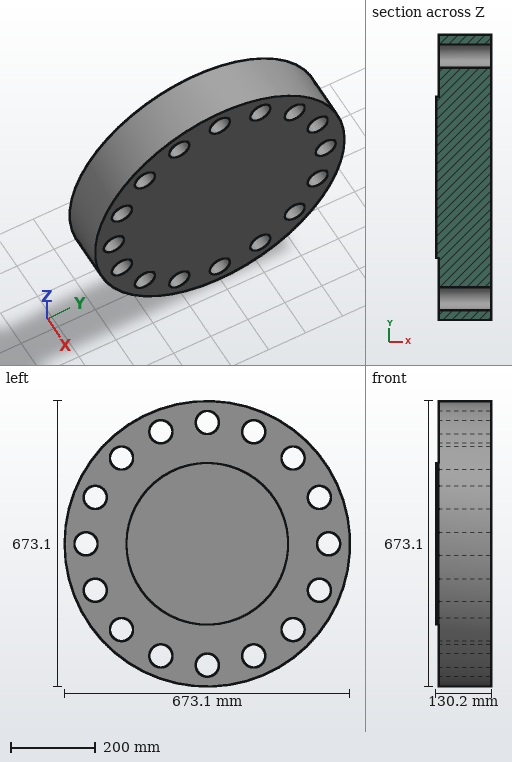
import cadquery as cq

flange_diameter = 673.1
overall_thickness = 130.18
raised_face_diameter = 381.0
raised_face_height = 6.35
disc_thickness = overall_thickness - raised_face_height

bolt_count = 16
bolt_circle_diameter = 571.5
bolt_hole_diameter = 53.975


def make_disc():
    """Main disc, from the foot of the raised face at X = 0 to the back."""
    return cq.Workplane("YZ").circle(flange_diameter / 2).extrude(disc_thickness)


def make_raised_face():
    """Shallow sealing face standing out from the front of the disc."""
    return cq.Workplane("YZ").circle(raised_face_diameter / 2).extrude(-raised_face_height)


def make_bolt_holes():
    """Evenly spaced through holes, with the first on the +Y axis."""
    return (
        cq.Workplane("YZ")
        .polarArray(bolt_circle_diameter / 2, 0, 360, bolt_count)
        .circle(bolt_hole_diameter / 2)
        .extrude(disc_thickness)
    )


result = make_disc().union(make_raised_face()).cut(make_bolt_holes())